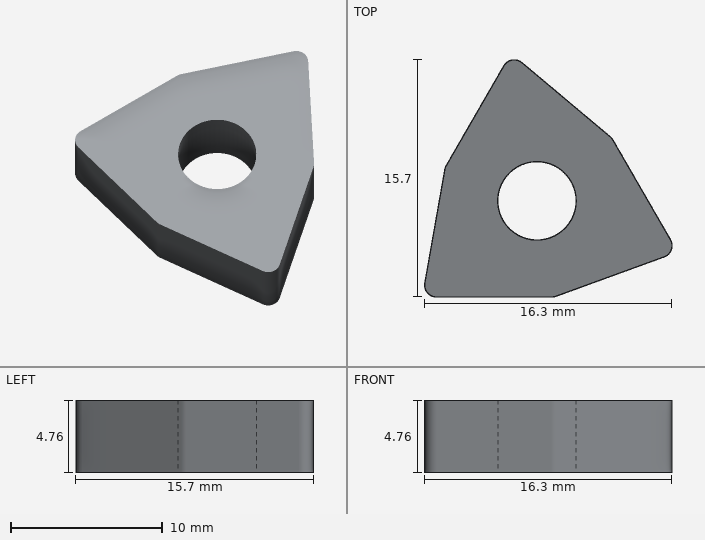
import cadquery as cq
import math

inscribed_diameter = 12.7
thickness = 4.76
hole_diameter = 5.16
edge_radius = 0.794
corner_angle = 80.0
corner_count = 3
first_corner_direction = 220.0

pitch_angle = 360.0 / corner_count
inscribed_radius = inscribed_diameter / 2

sharp_half_angle = corner_angle / 2
blunt_half_angle = 180.0 - pitch_angle / 2 - sharp_half_angle
sharp_distance = inscribed_radius / math.sin(math.radians(sharp_half_angle))
blunt_distance = inscribed_radius / math.sin(math.radians(blunt_half_angle))


def polar_point(distance, direction):
    angle = math.radians(direction)
    return (distance * math.cos(angle), distance * math.sin(angle))


def trigon_outline():
    """Alternating sharp and blunt corners, counter-clockwise."""
    points = []
    for index in range(corner_count):
        direction = first_corner_direction + index * pitch_angle
        points.append(polar_point(sharp_distance, direction))
        points.append(polar_point(blunt_distance, direction + pitch_angle / 2))
    return points


def insert_body():
    body = cq.Workplane("XY").polyline(trigon_outline()).close().extrude(thickness)
    return body.edges("|Z").fillet(edge_radius)


def clamping_hole():
    return cq.Workplane("XY").circle(hole_diameter / 2).extrude(thickness)


result = insert_body().cut(clamping_hole())